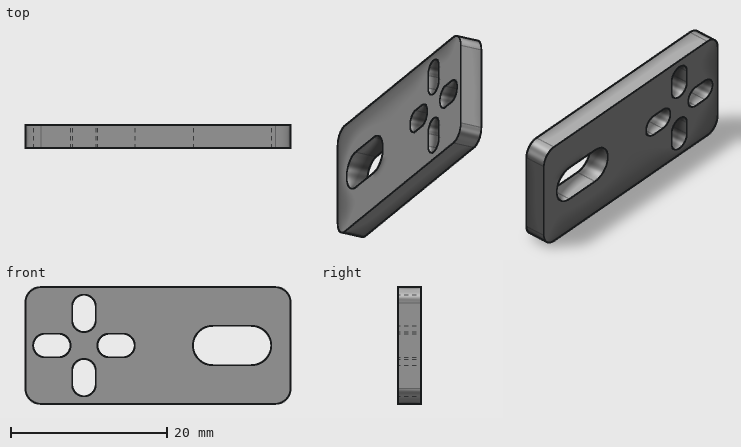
import cadquery as cq

length = 34.0
thickness = 3.0
height = 15.0
corner_radius = 2.0

cross_x = -9.5
small_slot_length = 4.75
small_slot_width = 3.0
small_slot_offset = 4.1

large_slot_x = -cross_x
large_slot_length = 10.0
large_slot_width = 5.0


def slot_cutter(x, z, slot_length, slot_width, angle=0):
    """Round-ended cutter through the thickness; angle 0 lies along X."""
    return (
        cq.Workplane("XZ")
        .center(x, z)
        .slot2D(slot_length, slot_width, angle)
        .extrude(thickness, both=True)
    )


plate = cq.Workplane("XY").box(length, thickness, height)
result = plate.edges("|Y").fillet(corner_radius)

for side in (-1, 1):
    offset = side * small_slot_offset
    result = result.cut(slot_cutter(cross_x + offset, 0, small_slot_length, small_slot_width))
    result = result.cut(slot_cutter(cross_x, offset, small_slot_length, small_slot_width, 90))

result = result.cut(slot_cutter(large_slot_x, 0, large_slot_length, large_slot_width))